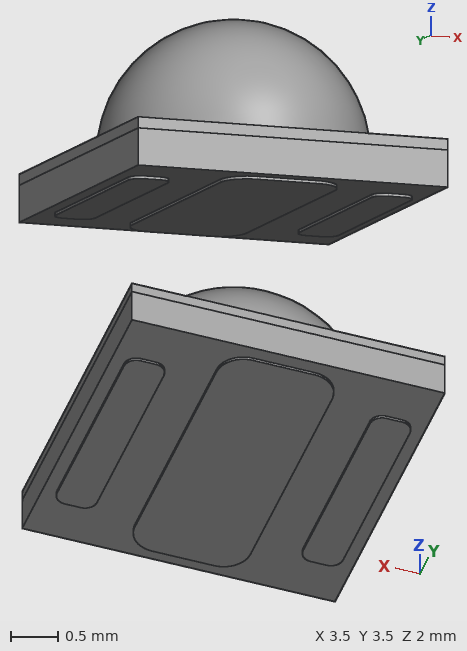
import cadquery as cq

package_side = 3.5
substrate_thickness = 0.4

sheet_thickness = 0.12
dome_radius = 1.45

pad_thickness = 0.03
pad_span = 3.2
thermal_pad_width = 1.295
thermal_pad_corner_radius = 0.3
electrode_width = 0.448
electrode_length = 2.4
electrode_corner_radius = 0.135
electrode_offset = (pad_span - electrode_width) / 2

sheet_top = substrate_thickness + sheet_thickness


def make_plate(thickness, bottom):
    """Square plate as wide as the package."""
    return (
        cq.Workplane("XY")
        .workplane(offset=bottom)
        .rect(package_side, package_side)
        .extrude(thickness)
    )


def make_pad(width, length, corner_radius, center_x):
    """Pad with rounded corners, hanging below the substrate underside."""
    return (
        cq.Workplane("XY")
        .center(center_x, 0)
        .rect(width, length)
        .extrude(-pad_thickness)
        .edges("|Z")
        .fillet(corner_radius)
    )


def make_substrate():
    """Substrate plate with its three solder pads."""
    substrate = make_plate(substrate_thickness, 0)
    substrate = substrate.union(make_pad(thermal_pad_width, pad_span, thermal_pad_corner_radius, 0))
    for side in (-1, 1):
        electrode = make_pad(
            electrode_width, electrode_length, electrode_corner_radius, side * electrode_offset
        )
        substrate = substrate.union(electrode)
    return substrate


def make_lens():
    """Cover sheet and hemispherical dome in one piece."""
    sheet = make_plate(sheet_thickness, substrate_thickness)
    dome = (
        cq.Workplane("XZ", origin=(0, 0, sheet_top))
        .lineTo(dome_radius, 0)
        .radiusArc((0, dome_radius), -dome_radius)
        .close()
        .revolve(360, (0, 0), (0, 1))
    )
    return sheet.union(dome)


substrate = make_substrate()
lens = make_lens()

result = cq.Compound.makeCompound([substrate.val(), lens.val()])